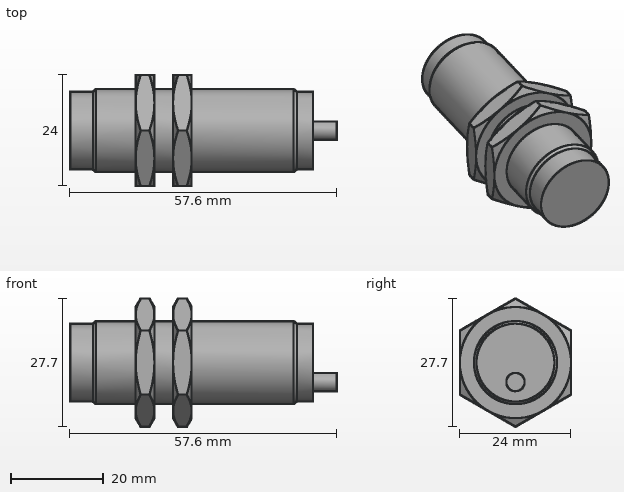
import cadquery as cq
import math

total_length = 57.6
cap_diameter = 16.8
barrel_diameter = 17.95
barrel_start = 4.9
barrel_end = 48.95
barrel_chamfer_length = 0.7
rear_cap_end = 52.45

cable_diameter = 4.0
cable_drop = 4.2

nut_across_flats = 24.0
nut_thickness = 4.05
nut_starts = (14.15, 22.2)
nut_chamfer_angle = 30.0


def cylinder_x(diameter, start, end, z=0.0):
    """Solid cylinder parallel to X between two X positions."""
    return cq.Workplane("YZ", origin=(start, 0, z)).circle(diameter / 2).extrude(end - start)


def make_barrel():
    """Turned profile: front cap, chamfered barrel and rear cap."""
    cap_radius = cap_diameter / 2
    barrel_radius = barrel_diameter / 2
    profile = [
        (0, 0),
        (0, cap_radius),
        (barrel_start, cap_radius),
        (barrel_start + barrel_chamfer_length, barrel_radius),
        (barrel_end - barrel_chamfer_length, barrel_radius),
        (barrel_end, cap_radius),
        (rear_cap_end, cap_radius),
        (rear_cap_end, 0),
    ]
    return cq.Workplane("XY").polyline(profile).close().revolve(360, (0, 0, 0), (1, 0, 0))


def make_nut(start):
    """Hexagon with corners on +Z and -Z, its corners turned off conically at both faces."""
    flat_radius = nut_across_flats / 2
    corner_radius = flat_radius / math.cos(math.pi / 6)
    corner_cut = (corner_radius - flat_radius) * math.tan(math.radians(nut_chamfer_angle))
    end = start + nut_thickness
    hexagon = (
        cq.Workplane("YZ", origin=(start, 0, 0))
        .transformed(rotate=(0, 0, 90))
        .polygon(6, 2 * corner_radius)
        .extrude(nut_thickness)
    )
    turned_profile = [
        (start, 0),
        (start, flat_radius),
        (start + corner_cut, corner_radius),
        (end - corner_cut, corner_radius),
        (end, flat_radius),
        (end, 0),
    ]
    turned = cq.Workplane("XY").polyline(turned_profile).close().revolve(360, (0, 0, 0), (1, 0, 0))
    return hexagon.intersect(turned)


result = make_barrel()
for nut_start in nut_starts:
    result = result.union(make_nut(nut_start))

result = result.union(cylinder_x(cable_diameter, barrel_end, total_length, -cable_drop))